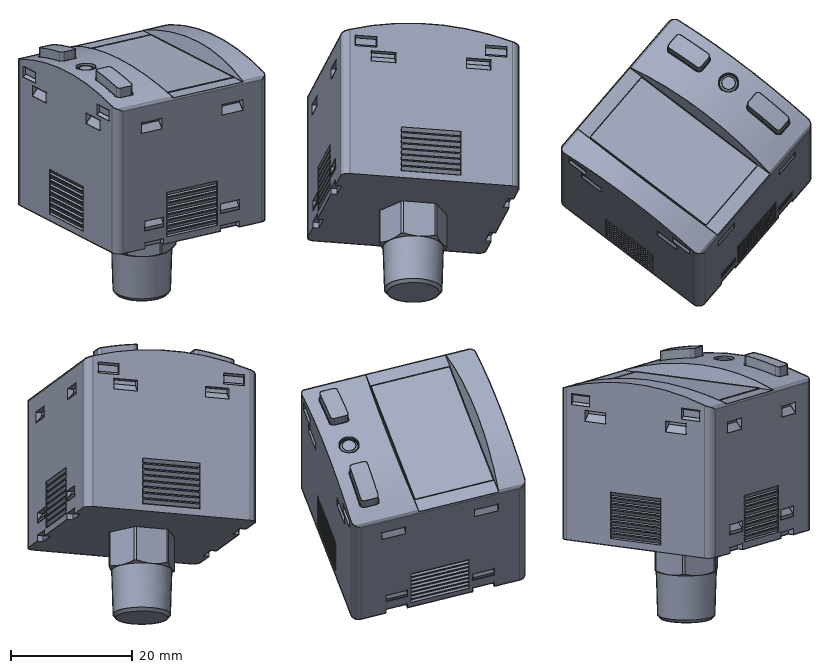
import cadquery as cq
import math

width = 30.0
half = width / 2
overlap = 1.0
corner_radius = 1.3
crown_height = 27.75
crown_radius = 46.8
crown_edge_fillet = 0.5

trough_floor_z = 25.27
trough_y_min = -3.6
trough_y_max = 10.16
trough_wall_angle = 18.0
window_length = 24.6
window_y_min = -3.5
window_y_max = 10.06
window_corner_radius = 0.2
window_rise = 0.12

controls_y = -11.1
button_x = 8.42
button_length = 6.9
button_width = 3.0
button_corner_radius = 0.55
button_rise = 1.55
button_gap = 0.15
button_gap_depth = 0.3
indicator_rim_diameter = 3.3
indicator_depth = 0.5
lens_base_diameter = 3.0
lens_top_diameter = 2.25
lens_height = 0.3

groove_count = 8
groove_length = 10.0
groove_pitch = 1.0
groove_height = 0.8
groove_apex_rise = 0.18
groove_depth = 0.38
groove_first_z = 1.2

latch_depth = 1.0
front_latch_depth = 0.5
upper_latch_offset = 8.0
upper_latch_length = 4.1
upper_latch_z = (20.35, 21.5, 22.18)
front_latch_offset = 10.95
front_latch_length = 3.6
front_latch_z = (22.86, 23.29, 24.45, 24.73)
lower_latch_offset = 7.5
lower_latch_length = 3.7
lower_latch_z = (3.1, 3.6, 4.8)
lower_latch_step = 0.1
notch_height = 1.0
notch_depth = 1.0

hex_across_flats = 10.0
hex_corner_diameter = 11.32
hex_height = 6.05
hex_chamfer_angle = 30.0
fitting_length = 14.08
thread_gauge_diameter = 9.73
thread_gauge_length = 4.0
thread_taper = 1 / 16
thread_end_diameter = 8.57
thread_end_chamfer = 0.55


def crown_z(x):
    """Height of the crown surface at a given X."""
    return crown_height - crown_radius + math.sqrt(crown_radius**2 - x**2)


def crowned_block(rise):
    """Full-width block whose top is the crown lifted by `rise`."""
    edge_z = crown_z(half) + rise
    return (
        cq.Workplane("XZ")
        .moveTo(-half, 0)
        .lineTo(half, 0)
        .lineTo(half, edge_z)
        .threePointArc((0, crown_height + rise), (-half, edge_z))
        .close()
        .extrude(half, both=True)
    )


def rounded_prism(x, y, length, depth, radius, z_min, z_max):
    """Upright rectangular prism with rounded vertical corners."""
    return (
        cq.Workplane("XY", origin=(x, y, z_min))
        .rect(length, depth)
        .extrude(z_max - z_min)
        .edges("|Z")
        .fillet(radius)
    )


def side_cutter(profile, offset, length):
    """Cutter for the -Y face: (depth, Z) profile swept along X, centred at `offset`."""
    points = [(depth - half, z) for depth, z in profile]
    return (
        cq.Workplane("YZ", origin=(offset - length / 2, 0, 0))
        .polyline(points)
        .close()
        .extrude(length)
    )


def turn(shape, angle):
    """Rotate a cutter about Z to bring it to another side of the housing."""
    return shape.rotate((0, 0, 0), (0, 0, 1), angle)


FRONT, RIGHT, BACK, LEFT = 0, 90, 180, 270


def make_shell():
    outline = rounded_prism(0, 0, width, width, corner_radius, 0, crown_height)
    crowned = crowned_block(0).faces(">X or <X").edges(">Z").fillet(crown_edge_fillet)
    return crowned.intersect(outline)


def cut_display_trough(body):
    wall_height = crown_height + overlap - trough_floor_z
    spread = wall_height * math.tan(math.radians(trough_wall_angle))
    trough = (
        cq.Workplane("YZ")
        .moveTo(trough_y_min, trough_floor_z)
        .lineTo(trough_y_max, trough_floor_z)
        .lineTo(trough_y_max + spread, trough_floor_z + wall_height)
        .lineTo(trough_y_min - spread, trough_floor_z + wall_height)
        .close()
        .extrude(half, both=True)
    )
    window = rounded_prism(
        0, (window_y_min + window_y_max) / 2,
        window_length, window_y_max - window_y_min, window_corner_radius,
        trough_floor_z - overlap, trough_floor_z + window_rise,
    )
    return body.cut(trough).union(window)


def add_button(body, x):
    top = crown_height + button_rise
    base = crown_z(half) - overlap
    moat = rounded_prism(
        x, controls_y,
        button_length + 2 * button_gap, button_width + 2 * button_gap,
        button_corner_radius + button_gap, base, top,
    ).cut(crowned_block(-button_gap_depth))
    button = rounded_prism(
        x, controls_y, button_length, button_width, button_corner_radius, base, top,
    ).intersect(crowned_block(button_rise))
    return body.cut(moat).union(button)


def add_indicator(body):
    floor_z = crown_height - indicator_depth
    well = (
        cq.Workplane("XY", origin=(0, controls_y, floor_z))
        .circle(indicator_rim_diameter / 2)
        .extrude(indicator_depth)
    )
    lens = (
        cq.Workplane("XY", origin=(0, controls_y, floor_z))
        .circle(lens_base_diameter / 2)
        .workplane(offset=lens_height)
        .circle(lens_top_diameter / 2)
        .loft()
    )
    return body.cut(well).union(lens)


def cut_grip_grooves(body):
    for index in range(groove_count):
        foot = groove_first_z + index * groove_pitch
        profile = [(0, foot), (groove_depth, foot + groove_apex_rise), (0, foot + groove_height)]
        groove = side_cutter(profile, 0, groove_length)
        for side in (FRONT, RIGHT, BACK, LEFT):
            body = body.cut(turn(groove, side))
    return body


def cut_slot_pairs(body, profile, offset, length, sides):
    """Cut a mirrored pair of slots into each of the given sides."""
    for sign in (-1, 1):
        slot = side_cutter(profile, sign * offset, length)
        for side in sides:
            body = body.cut(turn(slot, side))
    return body


def cut_latches(body):
    foot, ramp_top, ceiling = upper_latch_z
    upper = [(0, foot), (latch_depth, ramp_top), (latch_depth, ceiling), (0, ceiling)]
    body = cut_slot_pairs(body, upper, upper_latch_offset, upper_latch_length, (FRONT, RIGHT, BACK, LEFT))

    foot, ramp_top, ceiling_inside, ceiling = front_latch_z
    front = [(0, foot), (front_latch_depth, ramp_top), (front_latch_depth, ceiling_inside), (0, ceiling)]
    body = cut_slot_pairs(body, front, front_latch_offset, front_latch_length, (FRONT, BACK))

    sill, foot, ceiling = lower_latch_z
    lower = [
        (0, sill), (lower_latch_step, sill), (lower_latch_step, foot),
        (latch_depth, ceiling), (0, ceiling),
    ]
    body = cut_slot_pairs(body, lower, lower_latch_offset, lower_latch_length, (LEFT, RIGHT))

    notch = [(0, 0), (notch_depth, 0), (notch_depth, notch_height), (0, notch_height)]
    return cut_slot_pairs(body, notch, lower_latch_offset, lower_latch_length, (LEFT, RIGHT))


def make_housing():
    body = cut_display_trough(make_shell())
    for x in (-button_x, button_x):
        body = add_button(body, x)
    body = add_indicator(body)
    body = cut_grip_grooves(body)
    return cut_latches(body)


def make_fitting():
    hexagon = (
        cq.Workplane("XY")
        .polygon(6, hex_across_flats / math.cos(math.pi / 6))
        .extrude(-hex_height)
    )
    flat_radius = hex_across_flats / 2
    corner = hex_corner_diameter / 2
    chamfer_height = (corner - flat_radius) * math.tan(math.radians(hex_chamfer_angle))
    turned = (
        cq.Workplane("XZ")
        .polyline([
            (0, 0), (corner, 0), (corner, chamfer_height - hex_height),
            (flat_radius, -hex_height), (0, -hex_height),
        ])
        .close()
        .revolve(360, (0, 0), (0, 1))
    )

    def thread_radius(z):
        above_gauge = z + fitting_length - thread_gauge_length
        return (thread_gauge_diameter + above_gauge * thread_taper) / 2

    chamfer_z = thread_end_chamfer - fitting_length
    thread = (
        cq.Workplane("XZ")
        .polyline([
            (0, -hex_height), (thread_radius(-hex_height), -hex_height),
            (thread_radius(chamfer_z), chamfer_z),
            (thread_end_diameter / 2, -fitting_length), (0, -fitting_length),
        ])
        .close()
        .revolve(360, (0, 0), (0, 1))
    )
    return hexagon.intersect(turned).union(thread)


housing = make_housing()
fitting = make_fitting()
result = cq.Compound.makeCompound([housing.val(), fitting.val()])